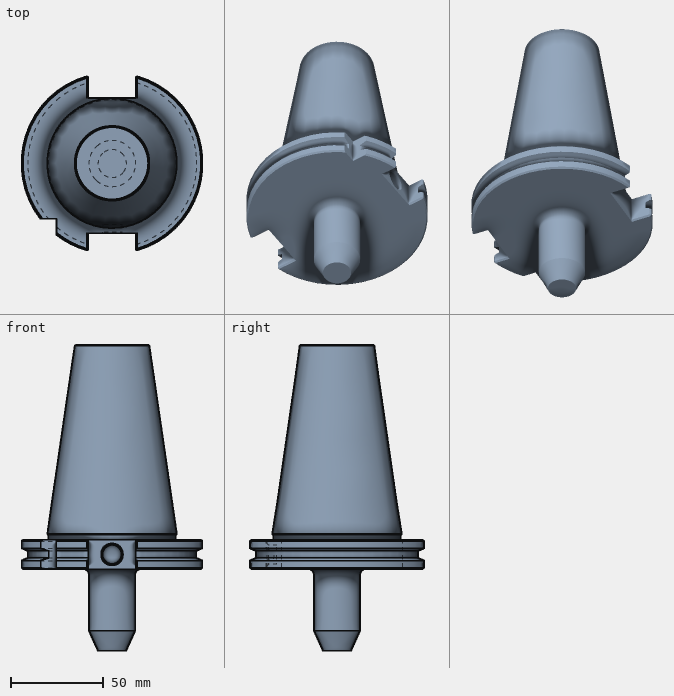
import cadquery as cq

overall_height = 164.8
taper_length = 101.8
flange_top = -3.1
flange_thickness = 15.8
tip_height = 10.9
flange_bottom = flange_top - flange_thickness
flange_middle = flange_top - flange_thickness / 2
bottom = taper_length - overall_height
tip_start = bottom + tip_height

gauge_radius = 35.0
taper_ratio = 7 / 24
taper_top_radius = gauge_radius - taper_length * taper_ratio / 2
taper_top_chamfer = 0.7
neck_relief = 0.5

stub_radius = 12.5
stub_fillet = 3.0
tip_radius = 7.5

flange_radius = 48.8
edge_chamfer = 0.8
groove_depth = 3.3
groove_floor_width = 3.8
groove_mouth_width = 6.6

slot_width = 25.4
front_slot_floor = 37.7
back_slot_floor = 35.3
notch_offset = 30.0

hole_radius = 5.1
countersink_radius = 6.0
hole_depth = 5.0


def make_shank():
    """Taper, neck, stub and conical tip revolved about Z."""
    neck_radius = gauge_radius - neck_relief
    return (
        cq.Workplane("XZ")
        .moveTo(0, taper_length)
        .lineTo(taper_top_radius, taper_length)
        .lineTo(gauge_radius, 0)
        .lineTo(neck_radius, -neck_relief)
        .lineTo(neck_radius, flange_middle)
        .lineTo(stub_radius, flange_middle)
        .lineTo(stub_radius, tip_start)
        .lineTo(tip_radius, bottom)
        .lineTo(0, bottom)
        .close()
        .revolve(360, (0, 0), (0, 1))
        .faces(">Z")
        .chamfer(taper_top_chamfer)
    )


def make_slot(side, floor):
    """Box that removes a drive slot; side is -1 for -Y or +1 for +Y."""
    radial_length = flange_radius
    return cq.Workplane("XY").box(slot_width, radial_length, flange_thickness).translate(
        (0, side * (floor + radial_length / 2), flange_middle)
    )


def make_groove():
    """Ring with sloped flanks that removes the gripper groove."""
    floor_radius = flange_radius - groove_depth
    half_floor = groove_floor_width / 2
    half_mouth = groove_mouth_width / 2
    outside_radius = flange_radius + groove_depth
    return (
        cq.Workplane("XZ")
        .moveTo(floor_radius, flange_middle - half_floor)
        .lineTo(flange_radius, flange_middle - half_mouth)
        .lineTo(outside_radius, flange_middle - half_mouth)
        .lineTo(outside_radius, flange_middle + half_mouth)
        .lineTo(flange_radius, flange_middle + half_mouth)
        .lineTo(floor_radius, flange_middle + half_floor)
        .close()
        .revolve(360, (0, 0), (0, 1))
    )


def make_notch():
    """Square-cornered box that opens the flange outward to -X and -Y."""
    size = flange_radius
    center = -(notch_offset + size / 2)
    return cq.Workplane("XY").box(size, size, flange_thickness).translate((center, center, flange_middle))


def make_flange():
    """Disc with chamfered rims and slot walls, then the groove and the notch."""
    disc = cq.Workplane("XY").workplane(offset=flange_bottom).circle(flange_radius).extrude(flange_thickness)
    slotted = disc.cut(make_slot(-1, front_slot_floor)).cut(make_slot(1, back_slot_floor))
    chamfered = slotted.edges("(not (|X or |Z)) or >Y or <Y").chamfer(edge_chamfer)
    return chamfered.cut(make_groove()).cut(make_notch())


def make_hole():
    """Blind hole with a 45 degree countersink, revolved about its own axis along Y."""
    countersink_depth = countersink_radius - hole_radius
    return (
        cq.Workplane("XY")
        .moveTo(0, -front_slot_floor)
        .lineTo(countersink_radius, -front_slot_floor)
        .lineTo(hole_radius, -front_slot_floor + countersink_depth)
        .lineTo(hole_radius, -front_slot_floor + hole_depth)
        .lineTo(0, -front_slot_floor + hole_depth)
        .close()
        .revolve(360, (0, 0), (0, 1))
        .translate((0, 0, flange_middle))
    )


body = make_shank().union(make_flange())

stub_root = cq.selectors.BoxSelector(
    (-stub_radius, -stub_radius, flange_bottom - edge_chamfer),
    (stub_radius, stub_radius, flange_bottom + edge_chamfer),
)
body = body.edges(stub_root).fillet(stub_fillet)

result = body.cut(make_hole())